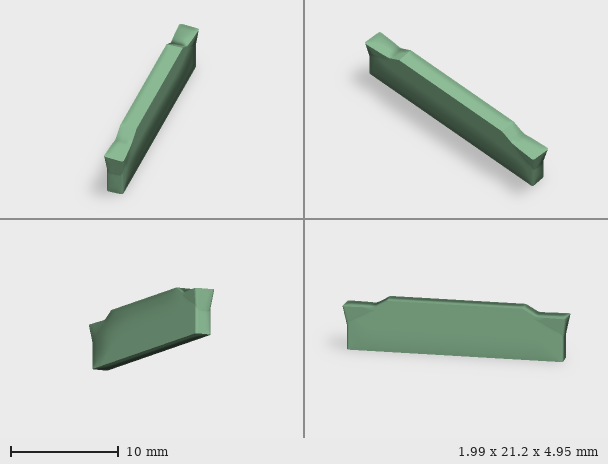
import cadquery as cq
import math

body_width = 1.61
body_height = 4.95
body_reach = 10.2
body_corner_radius = 0.21

rake_height = 4.22
land_half_length = 6.4
ramp_angle = math.radians(30)
ramp_blend_radius = 0.85

tip_reach = 10.54
tip_width = 2.01
tip_half_width = tip_width / 2
tip_corner_radius = 0.21
edge_slant = math.tan(math.radians(4.6))
side_taper = math.tan(math.radians(3.3))
side_relief = math.tan(math.radians(7))
head_bottom = 2.16
head_back = 7.0

neck_start = 7.3
neck_end = 8.5


def turned(solid):
    """The same solid at the opposite end of the part."""
    return solid.rotate((0, 0, 0), (0, 0, 1), 180)


def make_top_profile():
    """Side profile of the whole part, extruded wider than the head."""
    sin_ramp = math.sin(ramp_angle)
    cos_ramp = math.cos(ramp_angle)
    arc_top = rake_height + ramp_blend_radius * (1 - cos_ramp)
    arc_start = land_half_length + (body_height - arc_top) / math.tan(ramp_angle)
    arc_end = arc_start + ramp_blend_radius * sin_ramp
    arc_mid_y = arc_end - ramp_blend_radius * math.sin(ramp_angle / 2)
    arc_mid_z = rake_height + ramp_blend_radius * (1 - math.cos(ramp_angle / 2))
    end = tip_reach + tip_half_width
    return (
        cq.Workplane("YZ")
        .moveTo(-end, 0)
        .lineTo(end, 0)
        .lineTo(end, rake_height)
        .lineTo(arc_end, rake_height)
        .threePointArc((arc_mid_y, arc_mid_z), (arc_start, arc_top))
        .lineTo(land_half_length, body_height)
        .lineTo(-land_half_length, body_height)
        .lineTo(-arc_start, arc_top)
        .threePointArc((-arc_mid_y, arc_mid_z), (-arc_end, rake_height))
        .lineTo(-end, rake_height)
        .close()
        .extrude(tip_width, both=True)
    )


def make_body():
    """Straight blade with rounded upright corners."""
    return (
        cq.Workplane("XY")
        .box(body_width, 2 * body_reach, body_height, centered=(True, True, False))
        .edges("|Z")
        .fillet(body_corner_radius)
    )


def head_wire(height):
    """Plan outline of the head; its end is square at head_bottom and slanted at the tip."""
    rise = (height - head_bottom) / (rake_height - head_bottom)
    half_width = tip_half_width - side_relief * (rake_height - height)
    reach = body_reach + (tip_reach - body_reach) * rise
    left_reach = reach + edge_slant * rise * half_width
    right_reach = reach - edge_slant * rise * half_width
    back_half_width = half_width - side_taper * (reach - head_back)
    return cq.Wire.makePolygon(
        [
            cq.Vector(-half_width, left_reach, height),
            cq.Vector(half_width, right_reach, height),
            cq.Vector(back_half_width, head_back, height),
            cq.Vector(-back_half_width, head_back, height),
        ],
        close=True,
    )


def make_neck_limit():
    """Upright prism whose hollow sides leave the body faces tangentially."""
    half = body_width / 2
    width_at_end = tip_half_width - side_taper * (tip_reach - neck_end)
    far = tip_reach + tip_half_width
    return (
        cq.Workplane("XY")
        .moveTo(-half, head_back)
        .lineTo(half, head_back)
        .lineTo(half, neck_start)
        .tangentArcPoint((width_at_end, neck_end), relative=False)
        .lineTo(tip_width, neck_end)
        .lineTo(tip_width, far)
        .lineTo(-tip_width, far)
        .lineTo(-tip_width, neck_end)
        .lineTo(-width_at_end, neck_end)
        .threePointArc(neck_arc_middle(width_at_end), (-half, neck_start))
        .close()
        .extrude(body_height)
    )


def neck_arc_middle(width_at_end):
    """Middle of the -X neck arc, which is tangent to the body side."""
    rise = width_at_end - body_width / 2
    run = neck_end - neck_start
    radius = (run**2 + rise**2) / (2 * rise)
    half_sweep = math.atan2(rise, run)
    return (
        -body_width / 2 - radius * (1 - math.cos(half_sweep)),
        neck_start + radius * math.sin(half_sweep),
    )


def make_head():
    """Cutting head relieved at the sides and front, at the +Y end."""
    wires = [head_wire(head_bottom), head_wire(body_height)]
    tapered = cq.Workplane(obj=cq.Solid.makeLoft(wires, True))
    front_edges = tapered.edges(cq.selectors.BoxSelector(
        (-tip_width, body_reach, 0),
        (tip_width, 2 * body_reach, body_height),
    )).edges("not #Z")
    return front_edges.fillet(tip_corner_radius).intersect(make_neck_limit())


head = make_head()
blank = make_body().union(head).union(turned(head))
result = blank.intersect(make_top_profile())